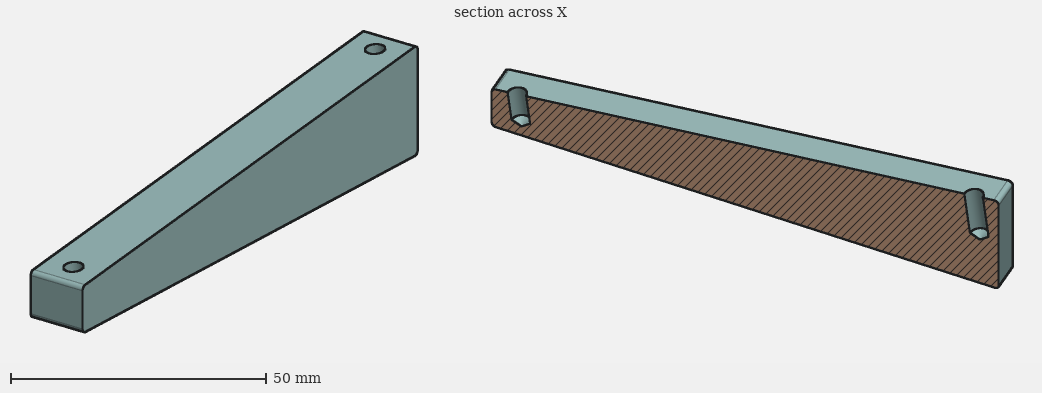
import cadquery as cq
import math

width = 12.6
length = 110.0
low_end_height = 10.0
high_end_height = 23.4
edge_radius = 1.0

hole_diameter = 4.0
hole_end_distance = 5.5
low_hole_depth = 7.0
high_hole_depth = 10.0
drill_point_angle = 118.0

slope = (high_end_height - low_end_height) / length
slope_angle = math.atan(slope)


def wedge():
    """Tapered bar with its four cross-width end edges rounded."""
    profile = [(0, 0), (length, 0), (length, high_end_height), (0, low_end_height)]
    body = cq.Workplane("YZ").polyline(profile).close().extrude(width / 2, both=True)
    return body.edges("|X").fillet(edge_radius)


def drilled_hole(y, depth):
    """Cutter for a blind drilled hole, square to the sloping face at y."""
    radius = hole_diameter / 2
    point_depth = radius / math.tan(math.radians(drill_point_angle / 2))
    surface_point = (0, y, low_end_height + slope * y)
    outward = (0, -math.sin(slope_angle), math.cos(slope_angle))
    section_normal = cq.Vector(1, 0, 0).cross(cq.Vector(*outward))
    section = cq.Plane(origin=surface_point, xDir=(1, 0, 0), normal=section_normal)
    return (
        cq.Workplane(section)
        .polyline([(0, 0), (radius, 0), (radius, -depth), (0, -depth - point_depth)])
        .close()
        .revolve(360, (0, 0), (0, 1))
    )


result = wedge()
for hole_y, hole_depth in (
    (hole_end_distance, low_hole_depth),
    (length - hole_end_distance, high_hole_depth),
):
    result = result.cut(drilled_hole(hole_y, hole_depth))